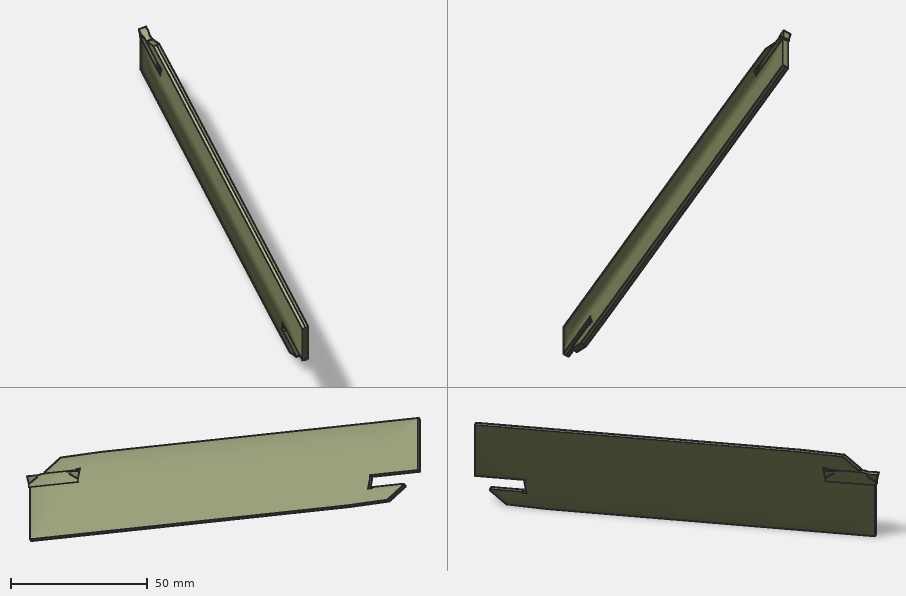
import cadquery as cq
import math

length = 151.0
height = 31.4
blade_width = 2.4
blade_front = 1.0
blade_middle_x = (blade_front + length) / 2
ridge_height = 0.3

blend_end_x = 29.6
blend_start_x = 27.2
nose_angle = 2.0
blend_angle = nose_angle / 2
nose_x = 13.3
jaw_tip_x = 6.6
jaw_tip_height = 0.5

seat_z = 20.4
seat_ridge = 0.3
jaw_z = 25.0
notch_z = 25.5
notch_length = 1.5

insert_length = 20.2
insert_width = 3.0
relief_depth = 0.6
relief_z = 21.6
edge_z = 24.6
head_length = 4.0
head_wide_length = 2.5
head_back_drop = 0.8
crest_start_x = 5.7
insert_middle_x = insert_length / 2

blend_start_z = height - (blend_end_x - blend_start_x) * math.tan(math.radians(blend_angle))
nose_z = blend_start_z - (blend_start_x - nose_x) * math.tan(math.radians(nose_angle))
jaw_tip_top_z = jaw_z + jaw_tip_height
jaw_slope = (nose_z - jaw_tip_top_z) / (nose_x - jaw_tip_x)
insert_back_low_x = insert_length - relief_depth
end_slope = relief_depth / (edge_z - relief_z)
seat_back_x = insert_back_low_x + (notch_z - relief_z) * end_slope


def half_outline(drop):
    """Front half of the blade outline, with the long edge lowered by drop."""
    return [
        (blade_front, seat_z),
        (insert_back_low_x, seat_z),
        (insert_back_low_x, relief_z),
        (seat_back_x, notch_z),
        (seat_back_x - notch_length, notch_z),
        (seat_back_x - notch_length, jaw_z),
        (jaw_tip_x, jaw_z),
        (jaw_tip_x, jaw_tip_top_z),
        (nose_x - drop / jaw_slope, nose_z - drop),
        (blend_start_x, blend_start_z - drop),
        (blend_end_x, height - drop),
        (length, height - drop),
    ]


def blade_outline(drop):
    front_half = half_outline(drop)
    rear_half = [(2 * blade_middle_x - x, height - z) for x, z in front_half]
    return front_half + rear_half


def blade_wire(y, drop):
    points = [cq.Vector(x, y, z) for x, z in blade_outline(drop)]
    return cq.Wire.makePolygon(points, close=True)


def blade_half(side):
    middle = blade_wire(0, 0)
    face = blade_wire(side * blade_width / 2, ridge_height)
    return cq.Workplane(cq.Solid.makeLoft([middle, face], True))


def seat_ridge_bar(end_x):
    """Triangular bar lying on the seat, from the blade front face to end_x."""
    half_width = blade_width / 2
    return (
        cq.Workplane("YZ", origin=(blade_front, 0, 0))
        .polyline([(-half_width, seat_z), (half_width, seat_z), (0, seat_z + seat_ridge)])
        .close()
        .extrude(end_x - blade_front)
    )


def make_blade():
    ridge = seat_ridge_bar(insert_back_low_x)
    blade = blade_half(-1).union(blade_half(1)).union(ridge)
    rear_ridge = ridge.rotate(
        (blade_middle_x, 0, height / 2), (blade_middle_x, 1, height / 2), 180
    )
    return blade.union(rear_ridge)


def extrude_profile(points, width):
    """Extrude an XZ profile symmetrically about the middle plane."""
    return cq.Workplane("XZ").polyline(points).close().extrude(width / 2, both=True)


def insert_core():
    left = [
        (relief_depth, seat_z),
        (relief_depth, relief_z),
        (0, edge_z),
        (head_length, edge_z),
        (crest_start_x, jaw_z),
    ]
    right = [(insert_length - x, z) for x, z in reversed(left)]
    return extrude_profile(left + right, blade_width)


def insert_head():
    """Wide cutting head, narrowing downwards and at its rear to the core width."""
    profile = [
        (relief_depth, relief_z),
        (0, edge_z),
        (head_length, edge_z),
        (head_length, edge_z - head_back_drop),
    ]
    plan = [
        (0, insert_width / 2),
        (head_wide_length, insert_width / 2),
        (head_length, blade_width / 2),
        (head_length, -blade_width / 2),
        (head_wide_length, -insert_width / 2),
        (0, -insert_width / 2),
    ]
    section = [
        (-blade_width / 2, relief_z),
        (blade_width / 2, relief_z),
        (insert_width / 2, edge_z),
        (-insert_width / 2, edge_z),
    ]
    plan_prism = cq.Workplane("XY").polyline(plan).close().extrude(height)
    section_prism = cq.Workplane("YZ").polyline(section).close().extrude(head_length)
    return extrude_profile(profile, insert_width).intersect(plan_prism).intersect(section_prism)


def make_insert():
    front_head = insert_head()
    rear_head = front_head.rotate((insert_middle_x, 0, 0), (insert_middle_x, 0, 1), 180)
    groove = seat_ridge_bar(insert_back_low_x).union(
        seat_ridge_bar(insert_back_low_x).translate((relief_depth - blade_front, 0, 0))
    )
    return insert_core().union(front_head).union(rear_head).cut(groove)


blade = make_blade()
insert = make_insert()
result = cq.Compound.makeCompound([blade.val(), insert.val()])